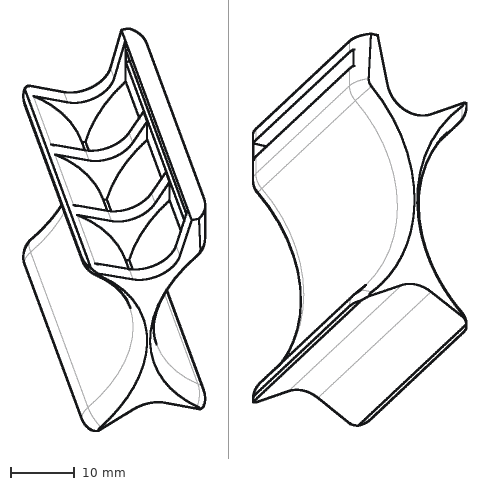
import cadquery as cq
import math

width = 40.95
depth = 20.0
height = 47.0

half_depth = depth / 2
lip_height = 39.15
waist_z = lip_height / 2
waist_thickness = 3.2
waist_radius = 23.5
tip_radius = 3.3
tip_flat_y = 9.2
trough_radius = 5.15
trough_center_z = 39.8
plate_thickness = 3.1

end_hollow = 0.45
edge_radius = 4.7
edge_start_x = 16.7

skin = 1.95
recess_floor_y = 0.3
recess_top_x = 18.15
recess_bottom_x = 17.7
rib_center_x = 6.51
rib_top_width = 2.1
rib_bottom_width = 2.4
rib_peak_z = 41.75
slot_half_width = 17.85
slot_bottom_z = 42.1
slot_top_z = 45.03

margin = 4.7
edge_overrun = 0.25
plate_front_y = half_depth - plate_thickness
waist_axis_y = waist_thickness / 2 + waist_radius
tip_axis_y = half_depth - tip_radius
tip_axis_rise = math.sqrt((waist_radius + tip_radius) ** 2 - (waist_axis_y - tip_axis_y) ** 2)
tip_share = waist_radius / (waist_radius + tip_radius)
blend_y = waist_axis_y + (tip_axis_y - waist_axis_y) * tip_share
blend_rise = tip_axis_rise * tip_share
tip_angle = math.atan2(waist_axis_y - tip_axis_y, tip_axis_rise) - math.pi / 2
tip_mid_y = tip_axis_y + tip_radius * math.cos(tip_angle / 2)
tip_mid_rise = tip_axis_rise + tip_radius * math.sin(tip_angle / 2)


def trough_tangent(y, z):
    """Point where the line from (y, z) touches the lower side of the trough circle."""
    rise = z - trough_center_z
    to_point = math.atan2(rise, y)
    opening = math.acos(trough_radius / math.hypot(y, rise))
    turn = -opening if y > 0 else opening
    angle = to_point + turn
    return (trough_radius * math.cos(angle), trough_center_z + trough_radius * math.sin(angle))


def add_face_path(outline, side, upward):
    """Draw a hollow face from one outer plane to the other; side is +1 for +Y, -1 for -Y."""
    way = 1 if upward else -1
    start = -way
    return (
        outline
        .threePointArc((side * tip_mid_y, waist_z + start * tip_mid_rise),
                       (side * blend_y, waist_z + start * blend_rise))
        .threePointArc((side * waist_thickness / 2, waist_z),
                       (side * blend_y, waist_z + way * blend_rise))
        .threePointArc((side * tip_mid_y, waist_z + way * tip_mid_rise),
                       (side * half_depth, waist_z + way * tip_axis_rise))
    )


def extrude_profile(outline):
    """Extrude a closed YZ outline past both ends of the part."""
    return outline.close().extrude(width / 2 + margin, both=True)


def side_profile():
    lip_start = trough_tangent(-tip_flat_y, lip_height)
    plate_start = trough_tangent(plate_front_y, height)
    outline = cq.Workplane("YZ").moveTo(half_depth, waist_z - tip_axis_rise)
    outline = add_face_path(outline, 1, True)
    outline = (
        outline
        .lineTo(half_depth, height)
        .lineTo(plate_front_y, height)
        .lineTo(*plate_start)
        .threePointArc((0, trough_center_z - trough_radius), lip_start)
        .lineTo(-tip_flat_y, lip_height)
        .lineTo(-half_depth, lip_height)
        .lineTo(-half_depth, waist_z + tip_axis_rise)
    )
    outline = add_face_path(outline, -1, False)
    outline = (
        outline
        .lineTo(-half_depth, 0)
        .lineTo(-tip_flat_y, 0)
        .lineTo(lip_start[0], lip_height - lip_start[1])
        .threePointArc((0, lip_height - trough_center_z + trough_radius),
                       (-lip_start[0], lip_height - lip_start[1]))
        .lineTo(tip_flat_y, 0)
        .lineTo(half_depth, 0)
    )
    return extrude_profile(outline)


def end_envelope():
    """Block whose two end faces are shallow arcs, narrowest at the waist."""
    reach = height - waist_z
    half_top = width / 2
    half_waist = half_top - end_hollow
    return (
        cq.Workplane("XZ")
        .moveTo(-half_top, waist_z - reach)
        .lineTo(half_top, waist_z - reach)
        .threePointArc((half_waist, waist_z), (half_top, height))
        .lineTo(-half_top, height)
        .threePointArc((-half_waist, waist_z), (-half_top, waist_z - reach))
        .close()
        .extrude(depth, both=True)
    )


def edge_cutter(side):
    """Rounds the +X edge of one hollow face by sweeping the waste along it."""
    top = height + margin if side > 0 else lip_height + margin
    path = cq.Workplane("YZ").moveTo(side * half_depth, -margin)
    path = path.lineTo(side * half_depth, waist_z - tip_axis_rise)
    path = add_face_path(path, side, True).lineTo(side * half_depth, top)
    reach_x = width / 2 + edge_overrun
    run = reach_x - edge_start_x

    def on_round(distance):
        drop = edge_radius - math.sqrt(edge_radius ** 2 - distance ** 2)
        return (edge_start_x + distance, side * (half_depth - drop))

    outer_y = side * (half_depth + edge_overrun)
    return (
        cq.Workplane("XY", origin=(0, 0, -margin))
        .moveTo(edge_start_x, side * half_depth)
        .threePointArc(on_round(run / 2), on_round(run))
        .lineTo(reach_x, outer_y)
        .lineTo(edge_start_x, outer_y)
        .close()
        .sweep(path)
    )


def recess_space():
    """Tapered space behind the lip, parallel to both hollow faces."""
    radius = waist_radius + skin

    def wall(y):
        return (y, waist_z + math.sqrt(radius ** 2 - (waist_axis_y - abs(y)) ** 2))

    back = wall(plate_front_y)
    floor = wall(recess_floor_y)
    front_y = -tip_flat_y
    outline = (
        cq.Workplane("YZ")
        .moveTo(plate_front_y, height + margin)
        .lineTo(*back)
        .threePointArc(wall((plate_front_y + recess_floor_y) / 2), floor)
        .lineTo(-recess_floor_y, floor[1])
        .threePointArc(wall((front_y - recess_floor_y) / 2), wall(front_y))
        .lineTo(front_y, height + margin)
    )
    taper = (
        cq.Workplane("XZ")
        .polyline([(-recess_bottom_x, floor[1]), (recess_bottom_x, floor[1]),
                   (recess_top_x, height), (-recess_top_x, height)])
        .close()
        .extrude(depth, both=True)
    )
    return extrude_profile(outline).intersect(taper)


def rib(center_x, recess):
    """Tapered rib filling the recess up to the trough and a rise against the plate."""
    bar = (
        cq.Workplane("XZ")
        .polyline([(center_x - rib_bottom_width / 2, waist_z),
                   (center_x + rib_bottom_width / 2, waist_z),
                   (center_x + rib_top_width / 2, rib_peak_z),
                   (center_x - rib_top_width / 2, rib_peak_z)])
        .close()
        .extrude(depth, both=True)
    )
    lip_start = trough_tangent(-tip_flat_y, lip_height)
    outline = (
        cq.Workplane("YZ")
        .moveTo(plate_front_y, rib_peak_z)
        .lineTo(*trough_tangent(plate_front_y, rib_peak_z))
        .threePointArc((0, trough_center_z - trough_radius), lip_start)
        .lineTo(-tip_flat_y, lip_height)
        .lineTo(-tip_flat_y, height)
        .lineTo(plate_front_y, height)
    )
    return recess.intersect(bar).cut(extrude_profile(outline))


def strap_slot():
    return (
        cq.Workplane("XY")
        .box(2 * slot_half_width, depth, slot_top_z - slot_bottom_z, centered=(True, False, False))
        .translate((0, 0, slot_bottom_z))
    )


body = side_profile().intersect(end_envelope())
for face_side in (1, -1):
    cutter = edge_cutter(face_side)
    body = body.cut(cutter).cut(cutter.mirror("YZ"))

recess = recess_space()
body = body.cut(recess)
for rib_x in (-rib_center_x, rib_center_x):
    body = body.union(rib(rib_x, recess))

result = body.cut(strap_slot())